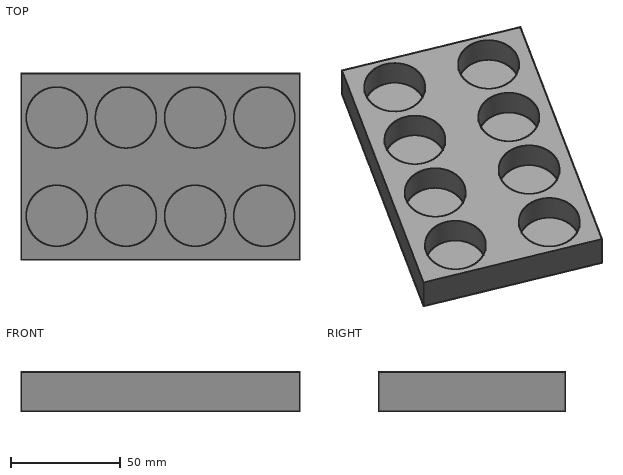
import cadquery as cq

length = 127.8
width = 85.5
height = 18.0

pocket_diameter = 28.0
pocket_depth = 15.0
columns = 4
rows = 2
column_pitch = 31.7
row_pitch = 45.0

plate = cq.Workplane("XY").box(length, width, height, centered=(True, True, False))

pockets = (
    cq.Workplane("XY")
    .workplane(offset=height - pocket_depth)
    .rarray(column_pitch, row_pitch, columns, rows)
    .circle(pocket_diameter / 2)
    .extrude(pocket_depth)
)

result = plate.cut(pockets)